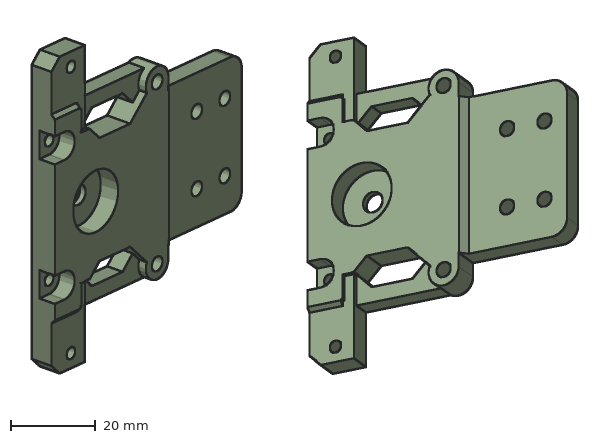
import cadquery as cq

thickness = 7.3
length = 68.6
flange_thickness = 6.2
tongue_thickness = 5.6
ledge_thickness = 4.9

flange_width = 82.0
flange_depth = 11.9
flange_chamfer = 2.95
body_half_width = 27.05
tongue_half_width = 20.0
tongue_corner_radius = 4.1
tongue_ramp_start = 42.4

ear_y = 36.5
ear_z = 23.5
ear_radius = 4.0

window_y = 21.4
window_z = 19.5
window_length = 18.0
window_height = 7.1

ledge_slope_end_y = 12.45
pad_step_y = 9.4
pad_corner = 0.5

bolt_diameter = 3.8
tongue_bolt_ys = (52.5, 62.5)
tongue_bolt_z = 10.0
pin_diameter = 3.0
flange_pin_y, flange_pin_z = 7.0, 37.05
slot_pin_y, slot_pin_z = 3.45, 18.0
slot_width = 7.3
slot_floor = 2.45

center_hole_y = 14.6
center_hole_diameter = 5.2
center_bore_diameter = 16.0
center_bore_floor = 1.8

overrun = 0.8
flange_half_width = flange_width / 2
ear_end_y = ear_y + ear_radius
window_half_height = window_height / 2
window_flat_half = window_length / 2 - window_half_height


def plate(points, x_start, x_end):
    """Extrude a closed (y, z) outline along X."""
    return cq.Workplane("YZ", origin=(x_start, 0, 0)).polyline(points).close().extrude(x_end - x_start)


def block(x_range, y_range, z_range):
    """Box given by its limits on each axis."""
    ranges = (x_range, y_range, z_range)
    sizes = [high - low for low, high in ranges]
    corner = tuple(low for low, high in ranges)
    return cq.Workplane("XY").box(*sizes, centered=False).translate(corner)


def rod(y, z, diameter, x_start=0.0):
    """Round bar along X, from x_start to the full thickness."""
    return cq.Workplane("YZ", origin=(x_start, 0, 0)).center(y, z).circle(diameter / 2).extrude(
        thickness - x_start
    )


def both_sides(solid):
    """The solid together with its mirror image about z = 0."""
    return solid.union(solid.mirror("XY"))


def make_flange():
    bar = block((0, thickness), (0, flange_depth), (-flange_half_width, flange_half_width))
    return bar.edges("|X and <Y").chamfer(flange_chamfer)


def make_tongue():
    """Tongue with rounded end corners, ramping up to full thickness next to the ears."""
    tongue = block((0, thickness), (0, length), (-tongue_half_width, tongue_half_width))
    tongue = tongue.edges("|X and >Y").fillet(tongue_corner_radius)
    ramp = thickness - tongue_thickness
    relief = (
        cq.Workplane("XY", origin=(0, 0, -tongue_half_width))
        .moveTo(tongue_thickness, tongue_ramp_start)
        .lineTo(thickness, tongue_ramp_start - ramp)
        .lineTo(thickness, length)
        .lineTo(tongue_thickness, length)
        .close()
        .extrude(2 * tongue_half_width)
    )
    return tongue.cut(relief)


def make_ledge_cut():
    """Ledge beside the raised pad; its inner wall follows the inner side of the window."""
    inner_z = window_z - window_half_height
    outer_z = body_half_width + overrun
    slope_end_z = inner_z + window_y - window_flat_half - ledge_slope_end_y
    near_y = window_y - window_flat_half
    far_y = window_y + window_flat_half
    outline = [
        (flange_depth, outer_z),
        (flange_depth, slope_end_z),
        (ledge_slope_end_y, slope_end_z),
        (near_y, inner_z),
        (far_y, inner_z),
        (far_y + ear_z - inner_z, ear_z),
        (ear_y, ear_z),
        (ear_y, outer_z),
    ]
    return plate(outline, ledge_thickness, thickness)


def make_flange_cut():
    """Lower flange end, with a bevel up to the pad and a step where the pad narrows."""
    bevel_rise = thickness - flange_thickness
    bevel_top_z = body_half_width - bevel_rise
    end = (
        cq.Workplane("XZ")
        .moveTo(flange_thickness, body_half_width)
        .lineTo(thickness, bevel_top_z)
        .lineTo(thickness, flange_half_width)
        .lineTo(flange_thickness, flange_half_width)
        .close()
        .extrude(-flange_depth)
    )
    step_outline = [
        (flange_depth, window_z),
        (pad_step_y, window_z),
        (pad_step_y, bevel_top_z - pad_corner),
        (pad_step_y - pad_corner, bevel_top_z),
        (pad_step_y - pad_corner, body_half_width),
        (flange_depth, body_half_width),
    ]
    return end.union(plate(step_outline, flange_thickness, thickness))


def make_window():
    """Elongated hexagon with 45 degree ends."""
    outline = []
    for side in (1, -1):
        outline += [
            (window_y - side * window_flat_half, window_z + side * window_half_height),
            (window_y + side * window_flat_half, window_z + side * window_half_height),
            (window_y + side * window_length / 2, window_z),
        ]
    return plate(outline, 0, thickness)


def make_slot():
    """Round-ended pocket around the slot pin, open through the foot edge."""
    half_width = slot_width / 2
    mouth = block(
        (slot_floor, thickness), (-overrun, slot_pin_y), (slot_pin_z - half_width, slot_pin_z + half_width)
    )
    return mouth.union(rod(slot_pin_y, slot_pin_z, slot_width, slot_floor))


body = block((0, thickness), (0, ear_y), (-body_half_width, body_half_width))
ear_web = block((0, thickness), (ear_y, ear_end_y), (-ear_z, ear_z))
result = make_flange().union(body).union(ear_web).union(make_tongue())
result = result.cut(both_sides(make_ledge_cut())).cut(both_sides(make_flange_cut()))
result = result.union(both_sides(rod(ear_y, ear_z, 2 * ear_radius)))

result = result.cut(both_sides(make_window())).cut(both_sides(make_slot()))

paired_holes = [
    (ear_y, ear_z, bolt_diameter),
    (flange_pin_y, flange_pin_z, pin_diameter),
    (slot_pin_y, slot_pin_z, pin_diameter),
]
paired_holes += [(y, tongue_bolt_z, bolt_diameter) for y in tongue_bolt_ys]
for y, z, diameter in paired_holes:
    result = result.cut(both_sides(rod(y, z, diameter)))

result = result.cut(rod(center_hole_y, 0, center_hole_diameter))
result = result.cut(rod(center_hole_y, 0, center_bore_diameter, center_bore_floor))